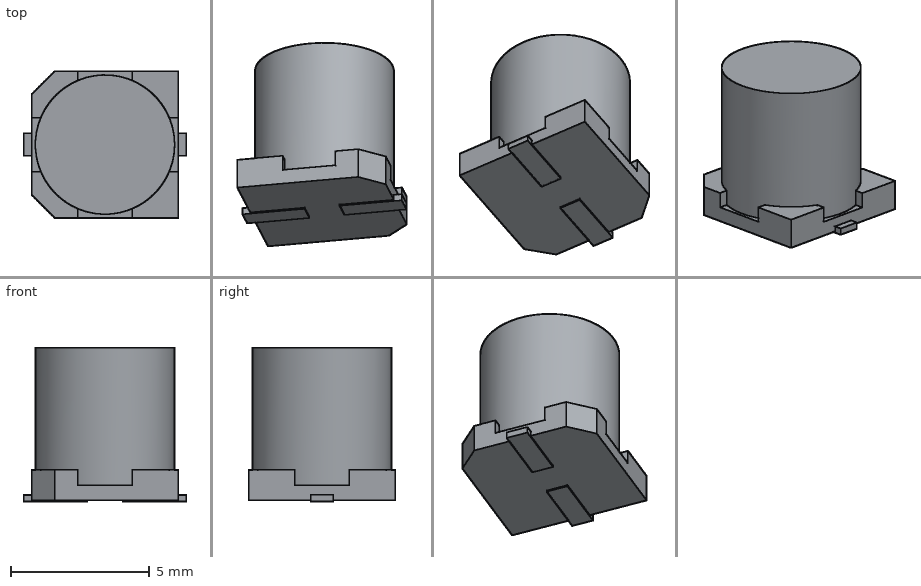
import cadquery as cq

base_side = 5.31
base_bottom = 0.05
base_top = 1.15
floor_height = 0.59
corner_cut = 0.84
notch_width = 1.955

can_diameter = 5.035
can_top = 5.57

overall_length = 5.89
lead_width = 0.825
lead_thickness = 0.25
lead_gap = 1.29
lead_length = (overall_length - lead_gap) / 2


def make_lead(side):
    """Flat lead; side is -1 for the -X end and +1 for the +X end."""
    lead_center = side * (lead_gap + lead_length) / 2
    return (
        cq.Workplane("XY")
        .center(lead_center, 0)
        .rect(lead_length, lead_width)
        .extrude(lead_thickness)
    )


def make_can():
    return (
        cq.Workplane("XY", origin=(0, 0, floor_height))
        .circle(can_diameter / 2)
        .extrude(can_top - floor_height)
    )


def make_base(can, leads):
    """Square base with two cut corners, side notches, and seats for the can and the leads."""
    base = (
        cq.Workplane("XY", origin=(0, 0, base_bottom))
        .rect(base_side, base_side)
        .extrude(base_top - base_bottom)
        .edges("|Z and <X")
        .chamfer(corner_cut)
    )
    channels = cq.Workplane("XY", origin=(0, 0, floor_height))
    channel_depth = base_top - floor_height
    along_x = channels.rect(base_side, notch_width).extrude(channel_depth)
    along_y = channels.rect(notch_width, base_side).extrude(channel_depth)
    base = base.cut(along_x).cut(along_y).cut(can)
    for lead in leads:
        base = base.cut(lead)
    return base


can = make_can()
leads = [make_lead(side) for side in (-1, 1)]
base = make_base(can, leads)

result = cq.Compound.makeCompound([base.val(), can.val(), *[lead.val() for lead in leads]])